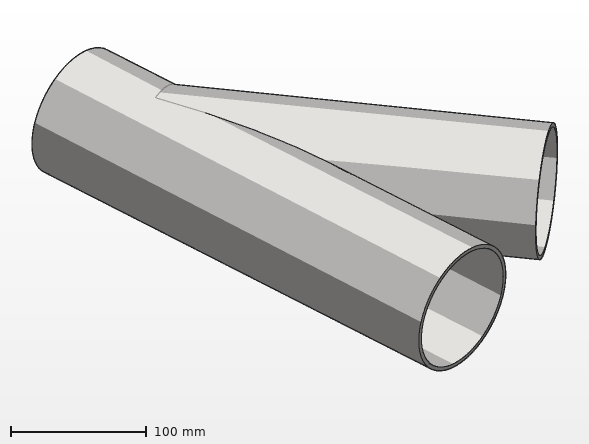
import cadquery as cq

run_length = 368.3
outer_diameter = 101.5
bore_diameter = 95.5
branch_angle = 30.0
branch_length = 292.0
branch_position = 76.2

run_plane = cq.Plane.YZ()
branch_plane = cq.Plane.YZ(origin=(branch_position, 0, 0)).rotated((0, branch_angle, 0))


def y_fitting_cylinders(diameter):
    """Join the run and branch cylinders of one diameter."""
    run = cq.Workplane(run_plane).circle(diameter / 2).extrude(run_length)
    branch = cq.Workplane(branch_plane).circle(diameter / 2).extrude(branch_length)
    return run.union(branch)


result = y_fitting_cylinders(outer_diameter).cut(y_fitting_cylinders(bore_diameter))